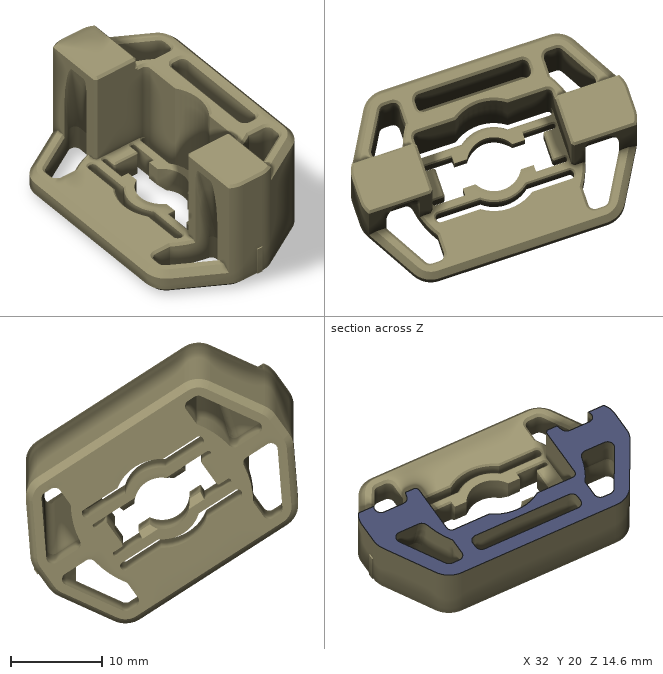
import cadquery as cq
import math

length = 32.0
depth = 20.0
tower_height = 14.6
wall_height = 13.12
plate_height = 3.0
rib_thickness = 0.13
body_half_length = (length - rib_thickness) / 2
half_depth = depth / 2

slant = math.tan(math.radians(60))
outline_tip = 17.15
outline_radius = 2.88
outer_chamfer = 0.75

tower_half_width = 2.95
tower_inner_x = 8.03
chamfer = 0.3

channel_radius = 0.58

window_inner_x = 8.35
window_outer_y = 8.25
window_tip = 15.15
window_end_y = 0.8
window_top_z = 13.28
window_radius = 0.75
core_radius = half_depth
end_slope = (tower_half_width - window_end_y) / (window_top_z - plate_height)
straight_end = [(window_end_y, 0), (window_end_y, tower_height)]
sloped_end = [
    (window_end_y, 0),
    (window_end_y, plate_height),
    (window_end_y + end_slope * (tower_height - plate_height), tower_height),
]

pocket_half_length = 6.6
pocket_near_y = 6.18
pocket_floor = plate_height

hole_radius = 3.0
arm_radius = 4.2
bulge_radius = 5.2
arm_inner_y = 2.25
arm_outer_y = 3.23
slot_outer_y = 4.22
slot_half_length = 7.97
slot_radius = 0.45
clip_chamfer = 0.2
grip_half_length = 4.1
grip_y = 1.47
arm_end_x = 7.78
tongue_tip_x = 6.25
tongue_half_width = 1.7
notch_radius = 0.25

rib_near_y = 0.6
rib_far_y = 1.3
rib_top = 4.2


def block(x0, x1, y0, y1, z0, z1):
    """Box given by its limits along each axis."""
    return cq.Workplane("XY").box(x1 - x0, y1 - y0, z1 - z0, centered=False).translate((x0, y0, z0))


def disc(radius, height):
    return cq.Workplane("XY").circle(radius).extrude(height)


def mirrored(shape, plane):
    """The shape together with its mirror image."""
    return shape.union(shape.mirror(plane))


def rim(cutter, top, size):
    """Shape that chamfers the rim of a cutter's opening in a flat face at the given height."""
    slab = block(-length, length, -length, length, top - 2 * size, top)
    pierced = slab.cut(cutter)
    edges = [edge for wire in pierced.faces(">Z").val().innerWires() for edge in wire.Edges()]
    return slab.cut(pierced.newObject(edges).chamfer(size))


def four_corners(shape):
    """The shape copied to all four corners."""
    return mirrored(mirrored(shape, "YZ"), "XZ")


def body(height):
    """Outline raised to a height, with its bottom edge chamfered."""
    end_y = (outline_tip - body_half_length) * slant
    side_x = outline_tip - half_depth / slant
    corners = [
        (side_x, half_depth), (body_half_length, end_y), (body_half_length, -end_y), (side_x, -half_depth),
        (-side_x, -half_depth), (-body_half_length, -end_y), (-body_half_length, end_y), (-side_x, half_depth),
    ]
    solid = cq.Workplane("XY").polyline(corners).close().extrude(height)
    solid = solid.edges("|Z").fillet(outline_radius)
    return solid.faces("<Z").edges().chamfer(outer_chamfer)


def window(end_wall):
    """Corner window at +X +Y; its end wall is given as (y, z) points from the bottom up."""
    top = tower_height
    prism = (
        cq.Workplane("YZ")
        .polyline(end_wall + [(window_outer_y, top), (window_outer_y, 0)])
        .close().extrude(length)
    )
    plan = (
        cq.Workplane("XY")
        .polyline([
            (window_inner_x, 0), (window_tip, 0),
            (window_tip - half_depth / slant, half_depth), (window_inner_x, half_depth),
        ])
        .close().extrude(top)
    )
    solid = prism.intersect(plan).cut(disc(core_radius, top))
    knee_y = math.sqrt(core_radius ** 2 - window_inner_x ** 2)
    corners = [
        edge for edge in solid.edges("not #Z").vals()
        if abs(edge.startPoint().z - edge.endPoint().z) > plate_height / 2
        and abs(edge.Center().y - knee_y) > chamfer
    ]
    return solid.newObject(corners).fillet(window_radius)


def channel():
    """Space in front of the back wall, with a round bulge at its middle."""
    height = wall_height
    straight = block(-tower_inner_x, tower_inner_x, 0, slot_outer_y, 0, height)
    straight = straight.edges("|Z and >Y").fillet(channel_radius)
    bulge = disc(bulge_radius, height).intersect(block(-length, length, 0, length, 0, height))
    return straight.union(bulge)


def arm_slot():
    """Slot between the +Y spring arm and the plate around it."""
    height = plate_height
    strip = block(-slot_half_length, slot_half_length, arm_outer_y, slot_outer_y, 0, height)
    strip = strip.edges("|Z").fillet(slot_radius)
    bulge = disc(bulge_radius, height).intersect(block(-length, length, arm_outer_y, length, 0, height))
    return strip.union(bulge).cut(disc(arm_radius, height))


def clip_opening():
    """Opening between the arms, with a tongue reaching in from each end."""
    height = plate_height
    opening = block(-arm_end_x, arm_end_x, -arm_inner_y, arm_inner_y, 0, height)
    tongue = block(tongue_tip_x, length, -tongue_half_width, tongue_half_width, 0, height)
    return opening.cut(mirrored(tongue, "YZ")).edges("|Z").fillet(notch_radius)


def blank():
    """Plate, back wall and towers, before anything is cut into them."""
    plate = body(plate_height).faces(">Z").edges().chamfer(outer_chamfer)
    wall = body(wall_height).faces(">Z").edges().chamfer(outer_chamfer)
    wall = wall.intersect(block(-length, length, tower_half_width - chamfer, length, 0, wall_height))
    tower = body(tower_height).intersect(
        block(tower_inner_x, length, -tower_half_width, tower_half_width, 0, tower_height)
    )
    tower = tower.edges("|Z and <X").chamfer(chamfer).faces(">Z").edges().chamfer(chamfer)
    wall = wall.cut(channel())
    return plate.union(wall).union(mirrored(tower, "YZ"))


def cut_windows(solid):
    """Cut the four corner windows and chamfer their rims outside the towers."""
    behind_towers = block(-length, length, tower_half_width, length, 0, tower_height)
    wall_rim = rim(window(sloped_end), wall_height, chamfer).intersect(behind_towers)
    plate_rim = rim(window(straight_end), plate_height, chamfer).intersect(behind_towers).mirror("XZ")
    solid = solid.cut(four_corners(window(sloped_end)))
    return solid.cut(mirrored(wall_rim, "YZ")).cut(mirrored(plate_rim, "YZ"))


def cut_wall_details(solid):
    """Chamfer the top of the channel and sink the pocket into the back wall."""
    behind_towers = block(-length, length, tower_half_width, length, 0, tower_height)
    pocket = block(
        -pocket_half_length, pocket_half_length, pocket_near_y, window_outer_y, pocket_floor, wall_height
    ).edges("|Z").fillet(window_radius)
    solid = solid.cut(rim(channel(), wall_height, chamfer).intersect(behind_towers))
    return solid.cut(pocket).cut(rim(pocket, wall_height, chamfer))


def cut_clip(solid):
    """Cut the slots, the opening and the hole that form the spring clip."""
    slot = arm_slot()
    slot_rim = rim(slot, plate_height, clip_chamfer)
    solid = solid.cut(slot).cut(slot_rim.intersect(channel()))
    solid = solid.cut(slot.mirror("XZ")).cut(slot_rim.mirror("XZ"))

    opening = clip_opening()
    grip_root_y = (arm_inner_y + arm_outer_y) / 2
    grip = block(-grip_half_length, grip_half_length, grip_y, grip_root_y, 0, plate_height)
    solid = solid.cut(opening).cut(rim(opening, plate_height, clip_chamfer))
    solid = solid.union(mirrored(grip, "XZ")).cut(disc(hole_radius, plate_height))

    lead_in_y = grip_y + outer_chamfer
    lead_in = (
        cq.Workplane("YZ")
        .polyline([(-lead_in_y, 0), (lead_in_y, 0), (grip_y, outer_chamfer), (-grip_y, outer_chamfer)])
        .close().extrude(grip_half_length, both=True)
    )
    return solid.cut(lead_in)


end_rib = block(body_half_length - rib_thickness, body_half_length + rib_thickness, rib_near_y, rib_far_y,
                outer_chamfer, rib_top)
result = cut_clip(cut_wall_details(cut_windows(blank()))).union(end_rib)